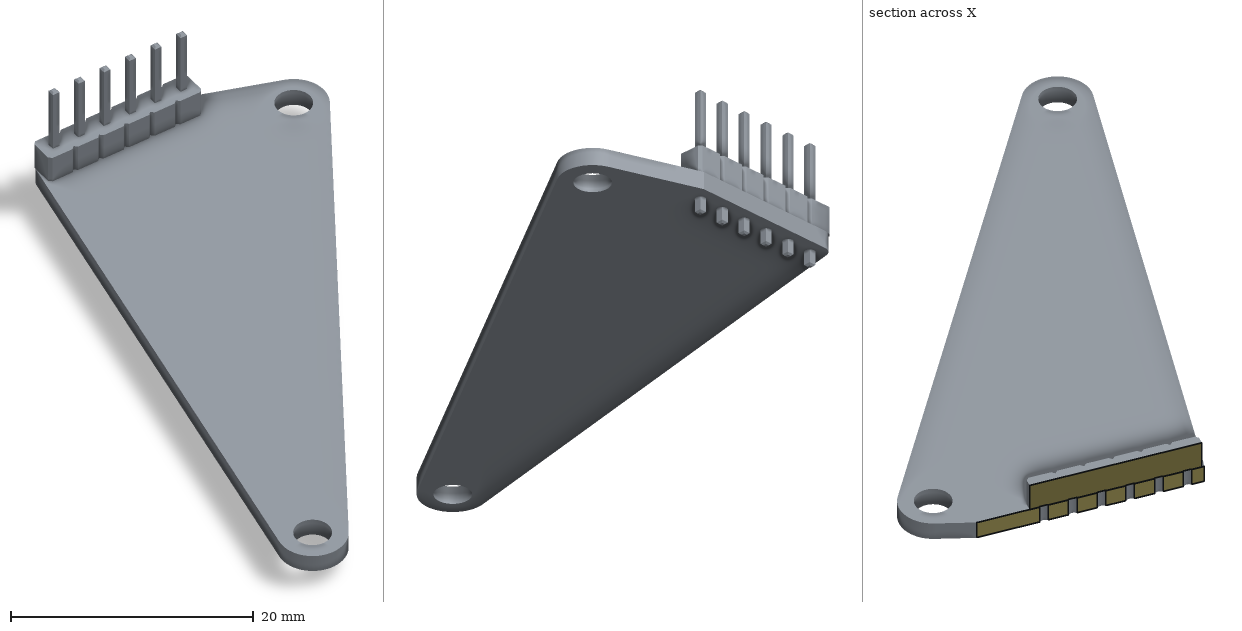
import cadquery as cq
import math

board_length = 54.15
board_width = 35.0
board_thickness = 1.6
ear_radius = 3.0
mount_hole_diameter = 3.2
upper_ear_x = 5.7
left_edge_top = 24.75
left_edge_bottom = 9.85
corner_radius = 1.0

pin_count = 6
pin_pitch = 2.55
pin_width = 0.65
pin_tip_chamfer = 0.15
pin_hole_diameter = 1.0
pin_rise = 6.0
pin_drop = 1.35
block_height = 2.55
block_depth = 2.55
block_chamfer = 0.25
header_x = 1.4
header_center_y = 17.4

upper_ear = (upper_ear_x, board_width - ear_radius)
lower_ear = (board_length - ear_radius, ear_radius)
ear_centers = [upper_ear, lower_ear]

pin_positions = [
    (header_x, header_center_y + (i - (pin_count - 1) / 2) * pin_pitch)
    for i in range(pin_count)
]


def point_on_ear(center, angle):
    """Point on an ear's outline circle at an angle in radians."""
    return (
        center[0] + ear_radius * math.cos(angle),
        center[1] + ear_radius * math.sin(angle),
    )


def tangent_angle(corner, center, side):
    """Angle around an ear where a line from the corner touches it; side is +1 or -1."""
    dx = corner[0] - center[0]
    dy = corner[1] - center[1]
    return math.atan2(dy, dx) + side * math.acos(ear_radius / math.hypot(dx, dy))


def make_board():
    left_top = (0, left_edge_top)
    left_bottom = (0, left_edge_bottom)

    long_edge_direction = math.atan2(lower_ear[1] - upper_ear[1], lower_ear[0] - upper_ear[0])
    long_edge_angle = long_edge_direction + math.pi / 2

    full_turn = 2 * math.pi
    upper_angle = tangent_angle(left_top, upper_ear, -1) % full_turn
    lower_angle = tangent_angle(left_bottom, lower_ear, 1) % full_turn - full_turn

    plate = (
        cq.Workplane("XY")
        .moveTo(*left_bottom)
        .lineTo(*left_top)
        .lineTo(*point_on_ear(upper_ear, upper_angle))
        .threePointArc(
            point_on_ear(upper_ear, (upper_angle + long_edge_angle) / 2),
            point_on_ear(upper_ear, long_edge_angle),
        )
        .lineTo(*point_on_ear(lower_ear, long_edge_angle))
        .threePointArc(
            point_on_ear(lower_ear, (long_edge_angle + lower_angle) / 2),
            point_on_ear(lower_ear, lower_angle),
        )
        .close()
        .extrude(board_thickness)
    )
    lower_left_edge = cq.selectors.NearestToPointSelector((*left_bottom, board_thickness / 2))
    plate = plate.edges("|Z").edges(lower_left_edge).fillet(corner_radius)

    mount_holes = (
        cq.Workplane("XY")
        .pushPoints(ear_centers)
        .circle(mount_hole_diameter / 2)
        .extrude(board_thickness)
    )
    pin_holes = (
        cq.Workplane("XY")
        .pushPoints(pin_positions)
        .circle(pin_hole_diameter / 2)
        .extrude(board_thickness)
    )
    return plate.cut(mount_holes).cut(pin_holes)


def make_header_block():
    """One block of the header, standing on the board at the origin of X and Y."""
    return (
        cq.Workplane("XY", origin=(0, 0, board_thickness))
        .rect(block_depth, pin_pitch)
        .extrude(block_height)
        .edges("|Z")
        .chamfer(block_chamfer)
    )


def make_pin():
    """One square pin with chamfered tips, through the block and the board."""
    pin_length = pin_drop + board_thickness + block_height + pin_rise
    return (
        cq.Workplane("XY", origin=(0, 0, -pin_drop))
        .rect(pin_width, pin_width)
        .extrude(pin_length)
        .faces("<Z or >Z")
        .chamfer(pin_tip_chamfer)
    )


def make_header():
    unit = make_header_block().union(make_pin())
    header = cq.Workplane("XY")
    for x, y in pin_positions:
        header = header.union(unit.translate((x, y, 0)))
    return header


board = make_board()
header = make_header()

result = cq.Compound.makeCompound([board.solids().val(), header.solids().val()])